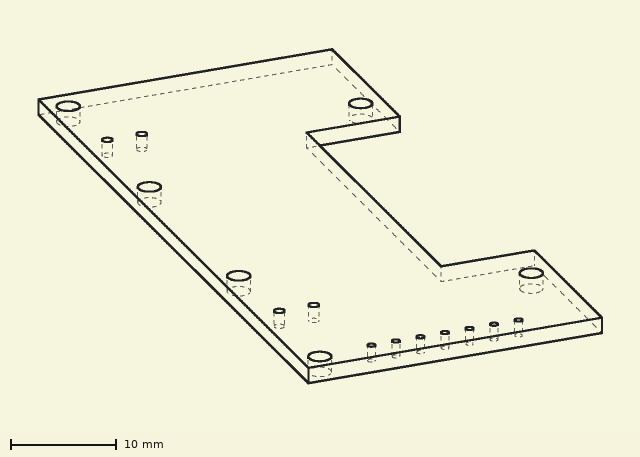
import cadquery as cq

length = 66.5
width = 30.0
thickness = 1.6

notch_length = 33.1
notch_depth = 9.5

mount_diameter = 2.2
front_mount_y = 2.0
rear_mount_y = 27.7
mount_center_x = 33.5
outer_mount_spacing = 62.0
inner_mount_spacing = 22.0
rear_mount_spacing = 42.0

pin_diameter = 1.0
pin_columns_x = [11.05, 53.4]
pin_rows_y = [2.45, 6.0]

header_diameter = 0.7
header_count = 7
header_span = 15.0
header_pitch = header_span / (header_count - 1)
header_x = 64.0


def mirrored_pair(spacing, y):
    """Two mounting positions a given spacing apart."""
    return [(mount_center_x - spacing / 2, y), (mount_center_x + spacing / 2, y)]


def drill(body, points, diameter):
    """Cut through holes of one diameter at the given board positions."""
    drills = cq.Workplane("XY").pushPoints(points).circle(diameter / 2).extrude(thickness)
    return body.cut(drills)


board = cq.Workplane("XY").box(length, width, thickness, centered=False)
notch = (
    cq.Workplane("XY")
    .box(notch_length, notch_depth, thickness, centered=False)
    .translate(((length - notch_length) / 2, width - notch_depth, 0))
)
board = board.cut(notch)

mount_points = (
    mirrored_pair(outer_mount_spacing, front_mount_y)
    + mirrored_pair(inner_mount_spacing, front_mount_y)
    + mirrored_pair(rear_mount_spacing, rear_mount_y)
)
pin_points = [(x, y) for x in pin_columns_x for y in pin_rows_y]
header_start_y = (width - header_span) / 2
header_points = [(header_x, header_start_y + i * header_pitch) for i in range(header_count)]

board = drill(board, mount_points, mount_diameter)
board = drill(board, pin_points, pin_diameter)
result = drill(board, header_points, header_diameter)